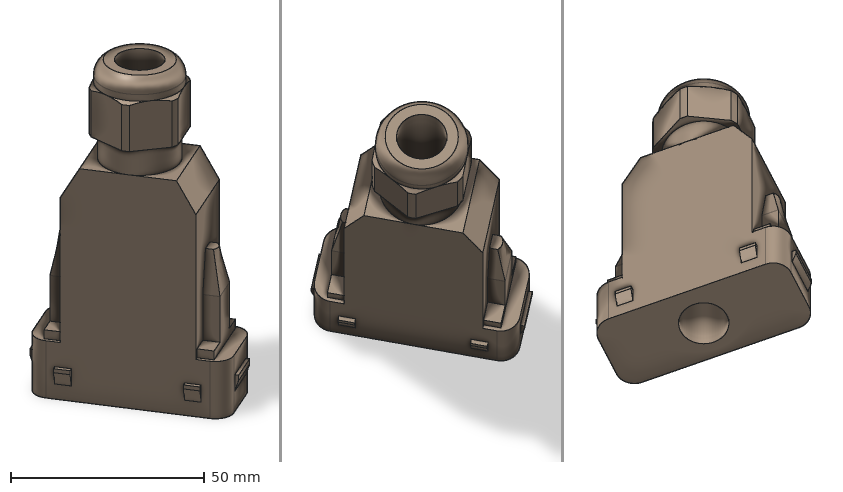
import cadquery as cq
import math

BASE_LENGTH = 54.2
BASE_HEIGHT = 16.45
BASE_CORNER_RADIUS = 5.0

BODY_LENGTH = 36.6
BODY_DEPTH = 22.0
BODY_TOP_LENGTH = 26.2
SHOULDER_Z = 58.0
BODY_TOP_Z = 67.0

POST_X = 22.9
POST_WIDTH = 9.0
POST_TAPER_Z = 32.1
POST_TOP_Z = 44.2
POST_TIP_CENTER_X = 18.5
POST_TIP_RADIUS = 5.6 / 2
POST_TIP_WIDTH = 4.1
FOOT_WIDTH = 19.9
FOOT_TOP_Z = 19.0

END_LATCH_LENGTH = 56.3
END_LATCH_WIDTH = 10.3
END_LATCH_BOTTOM_Z = 5.9
END_LATCH_SLOPE_Z = 9.0
END_LATCH_TOP_Z = 10.6
SIDE_LATCH_X = 17.5
SIDE_LATCH_WIDTH = 4.5
SIDE_LATCH_DEPTH = 24.4
SIDE_LATCH_BOTTOM_Z = 4.4
SIDE_LATCH_SLOPE_Z = 8.2
SIDE_LATCH_TOP_Z = 9.3

NECK_DIAMETER = BODY_DEPTH
BORE_DIAMETER = 13.0
NUT_FLATS = 24.0
NUT_CORNERS = 26.5
NUT_BOTTOM_Z = 74.8
NUT_TOP_Z = 88.8
NUT_CHAMFER_ANGLE = 30
DOME_START_Z = 90.7
DOME_TOP_DIAMETER = 18.9
TOP_Z = 95.1


def make_base():
    base = cq.Workplane("XY").rect(BASE_LENGTH, BODY_DEPTH).extrude(BASE_HEIGHT)
    return base.edges("|Z").fillet(BASE_CORNER_RADIUS)


def make_body():
    half_length = BODY_LENGTH / 2
    half_top = BODY_TOP_LENGTH / 2
    outline = [
        (-half_length, 0),
        (half_length, 0),
        (half_length, SHOULDER_Z),
        (half_top, BODY_TOP_Z),
        (-half_top, BODY_TOP_Z),
        (-half_length, SHOULDER_Z),
    ]
    return cq.Workplane("XZ").polyline(outline).close().extrude(BODY_DEPTH / 2, both=True)


def make_post():
    """Wide feet and straight shanks on both ends, with a tapered, rounded tip on the +X end."""
    half_width = POST_WIDTH / 2
    half_tip = POST_TIP_WIDTH / 2
    tip_corner_x = POST_TIP_CENTER_X + math.sqrt(POST_TIP_RADIUS**2 - half_tip**2)

    foot = cq.Workplane("XY").rect(2 * POST_X, FOOT_WIDTH).extrude(FOOT_TOP_Z)
    shank = cq.Workplane("XY").rect(2 * POST_X, POST_WIDTH).extrude(POST_TAPER_Z)
    shank_section = [
        (0, -half_width),
        (POST_X, -half_width),
        (POST_X, half_width),
        (0, half_width),
    ]
    taper = (
        cq.Workplane("XY", origin=(0, 0, POST_TAPER_Z))
        .polyline(shank_section)
        .close()
        .workplane(offset=POST_TOP_Z - POST_TAPER_Z)
        .moveTo(0, -half_tip)
        .lineTo(tip_corner_x, -half_tip)
        .threePointArc((POST_TIP_CENTER_X + POST_TIP_RADIUS, 0), (tip_corner_x, half_tip))
        .lineTo(0, half_tip)
        .close()
        .loft(ruled=True)
    )
    return foot.union(shank).union(taper)


def make_latch_pair(plane, wall, tip, bottom_z, slope_z, top_z, width):
    """Two opposite wedges, centred on `plane`, that widen upward from the wall to the tip."""
    outline = [
        (-wall, bottom_z),
        (wall, bottom_z),
        (tip, slope_z),
        (tip, top_z),
        (-tip, top_z),
        (-tip, slope_z),
    ]
    return cq.Workplane(plane).polyline(outline).close().extrude(width / 2, both=True)


def make_gland():
    nut_radius = NUT_FLATS / 2
    corner_radius = NUT_CORNERS / 2
    dome_top_radius = DOME_TOP_DIAMETER / 2
    hexagon_diameter = NUT_FLATS / math.cos(math.pi / 6)
    chamfer_drop = (corner_radius - nut_radius) * math.tan(math.radians(NUT_CHAMFER_ANGLE))

    neck = (
        cq.Workplane("XY", origin=(0, 0, BODY_TOP_Z))
        .circle(NECK_DIAMETER / 2)
        .extrude(NUT_BOTTOM_Z - BODY_TOP_Z)
    )
    hexagon = (
        cq.Workplane("XY", origin=(0, 0, NUT_BOTTOM_Z))
        .polygon(6, hexagon_diameter)
        .extrude(NUT_TOP_Z - NUT_BOTTOM_Z)
        .rotate((0, 0, 0), (0, 0, 1), 30)
    )
    envelope = (
        cq.Workplane("XZ")
        .moveTo(0, NUT_BOTTOM_Z)
        .lineTo(corner_radius, NUT_BOTTOM_Z)
        .lineTo(corner_radius, NUT_TOP_Z - chamfer_drop)
        .lineTo(nut_radius, NUT_TOP_Z)
        .lineTo(0, NUT_TOP_Z)
        .close()
        .revolve()
    )
    cap = (
        cq.Workplane("XZ")
        .moveTo(0, NUT_TOP_Z)
        .lineTo(nut_radius, NUT_TOP_Z)
        .lineTo(nut_radius, DOME_START_Z)
        .tangentArcPoint((dome_top_radius, TOP_Z), relative=False)
        .lineTo(0, TOP_Z)
        .close()
        .revolve()
    )
    return neck.union(hexagon.intersect(envelope)).union(cap)


post = make_post()
end_latches = make_latch_pair(
    "XZ",
    BASE_LENGTH / 2,
    END_LATCH_LENGTH / 2,
    END_LATCH_BOTTOM_Z,
    END_LATCH_SLOPE_Z,
    END_LATCH_TOP_Z,
    END_LATCH_WIDTH,
)
side_latches = make_latch_pair(
    "YZ",
    BODY_DEPTH / 2,
    SIDE_LATCH_DEPTH / 2,
    SIDE_LATCH_BOTTOM_Z,
    SIDE_LATCH_SLOPE_Z,
    SIDE_LATCH_TOP_Z,
    SIDE_LATCH_WIDTH,
)

result = make_base().union(make_body()).union(post).union(post.mirror("YZ"))
result = result.union(end_latches)
for latch_x in (-SIDE_LATCH_X, SIDE_LATCH_X):
    result = result.union(side_latches.translate((latch_x, 0, 0)))
result = result.union(make_gland())

bore = cq.Workplane("XY").circle(BORE_DIAMETER / 2).extrude(TOP_Z)
result = result.cut(bore)